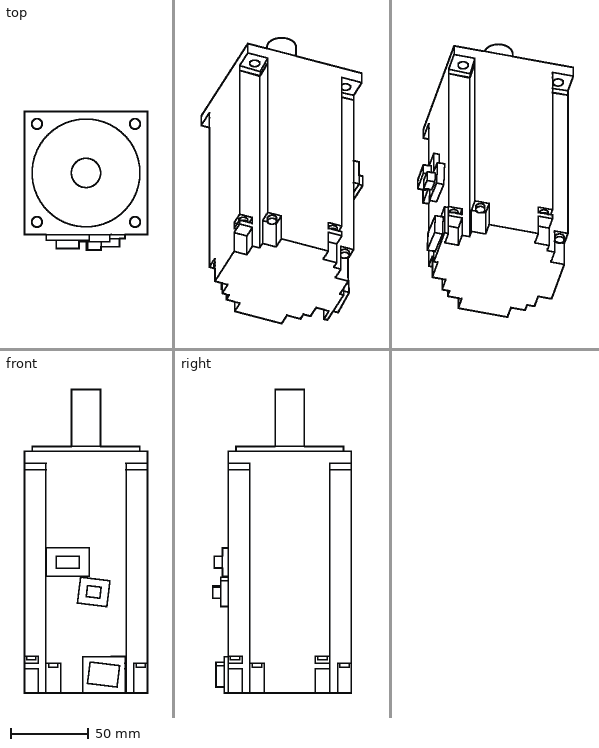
import cadquery as cq


body_width = 80.0
half_width = body_width / 2
side_count = 4
corner_notch = 14.0
notch_wall = half_width - corner_notch
undercut_depth = 0.6

cover_height = 24.0
flange_top = 157.0
flange_thickness = 8.0
flange_bottom = flange_top - flange_thickness
undercut_height = 4.0
pilot_height = 3.0
pilot_top = flange_top + pilot_height
shaft_length = 37.0

shaft_diameter = 19.0
pilot_diameter = 70.0
mount_hole_diameter = 6.6
mount_circle_diameter = 90.0
first_hole_angle = 45.0

pocket_depth = 9.0
pocket_width = 9.5
open_pocket_top = 19.2
tab_bottom = 15.8
tab_top = open_pocket_top
screw_diameter = 6.0
screw_head_height = 2.5

connector_tilt = -7.0
plug_length = 5.3

brake_plate = (28.0, 18.5, 3.8)
brake_plug_size = (15.0, 7.8)
brake_center = (-11.9, 85.0)

power_plate = (19.2, 16.9, 4.8)
power_plug_size = (8.9, 7.2)
power_center = (5.0, 65.6)

encoder_plate = (27.7, 23.6, 2.6)
encoder_plug_size = (19.3, 14.0)
encoder_center = (11.6, encoder_plate[1] / 2)
encoder_plug_center = (11.4, 12.0)


def box(x_range, y_range, z_range):
    """Box spanning the given (low, high) ranges."""
    size = [high - low for low, high in (x_range, y_range, z_range)]
    corner = (x_range[0], y_range[0], z_range[0])
    return cq.Workplane("XY").box(*size, centered=False).translate(corner)


def four_sides(shape):
    """Yield the shape turned about the motor axis onto each of the four sides."""
    for turn in range(side_count):
        yield shape.rotate((0, 0, 0), (0, 0, 1), 360 / side_count * turn)


def make_body():
    body = cq.Workplane("XY").rect(body_width, body_width).extrude(flange_top)
    notch = box((-half_width, -notch_wall), (-half_width, -notch_wall), (0, flange_bottom))
    undercut = (
        cq.Workplane("XY")
        .workplane(offset=flange_bottom - undercut_height)
        .moveTo(-notch_wall + undercut_depth, -notch_wall + undercut_depth)
        .lineTo(-notch_wall, -half_width)
        .lineTo(-half_width, -half_width)
        .lineTo(-half_width, -notch_wall)
        .close()
        .extrude(undercut_height)
    )
    for corner in four_sides(notch.union(undercut)):
        body = body.cut(corner)
    return body


def add_flange_features(body):
    pilot = cq.Workplane("XY").workplane(offset=flange_top).circle(pilot_diameter / 2).extrude(pilot_height)
    shaft = cq.Workplane("XY").workplane(offset=pilot_top).circle(shaft_diameter / 2).extrude(shaft_length)
    holes = (
        cq.Workplane("XY")
        .workplane(offset=flange_bottom)
        .polarArray(mount_circle_diameter / 2, first_hole_angle, 360, side_count)
        .circle(mount_hole_diameter / 2)
        .extrude(flange_thickness)
    )
    return body.cut(holes).union(pilot).union(shaft)


def screw_head(x, y, seat_height):
    """Screw head hanging below its seat."""
    head = cq.Workplane("XY").workplane(offset=seat_height).center(x, y)
    return head.circle(screw_diameter / 2).extrude(-screw_head_height)


def add_screw_pockets(body):
    """Each side has an open pocket at its left end and a tabbed pocket at its right end."""
    inner_edge = notch_wall - pocket_width
    depth_range = (-half_width, -half_width + pocket_depth)
    left_range = (-notch_wall, -inner_edge)
    right_range = (inner_edge, notch_wall)
    screw_x = notch_wall - pocket_width / 2
    screw_y = -half_width + pocket_depth / 2

    pockets = (
        box(left_range, depth_range, (0, open_pocket_top))
        .union(box(right_range, depth_range, (0, tab_bottom)))
        .union(box(right_range, depth_range, (tab_top, cover_height)))
    )
    open_screw = screw_head(-screw_x, screw_y, open_pocket_top)
    tabbed_screw = screw_head(screw_x, screw_y, cover_height)

    for cutter in four_sides(pockets):
        body = body.cut(cutter)
    for screw in (open_screw, tabbed_screw):
        for head in four_sides(screw):
            body = body.union(head)
    return body


def front_block(center, size, tilt, length):
    """Block of the given (width, height) standing outward from the -Y face."""
    face = cq.Workplane("XZ", origin=(center[0], -half_width, center[1]))
    return face.transformed(rotate=(0, 0, tilt)).rect(*size).extrude(length)


def make_connector(plate, plate_center, plate_tilt, plug_size, plug_center, plug_tilt):
    width, height, thickness = plate
    base = front_block(plate_center, (width, height), plate_tilt, thickness)
    plug = front_block(plug_center, plug_size, plug_tilt, thickness + plug_length)
    return base.union(plug)


def add_connectors(body):
    brake = make_connector(brake_plate, brake_center, 0, brake_plug_size, brake_center, 0)
    power = make_connector(
        power_plate, power_center, connector_tilt, power_plug_size, power_center, connector_tilt
    )
    encoder = make_connector(
        encoder_plate, encoder_center, 0, encoder_plug_size, encoder_plug_center, connector_tilt
    )
    return body.union(brake).union(power).union(encoder)


result = add_connectors(add_screw_pockets(add_flange_features(make_body())))